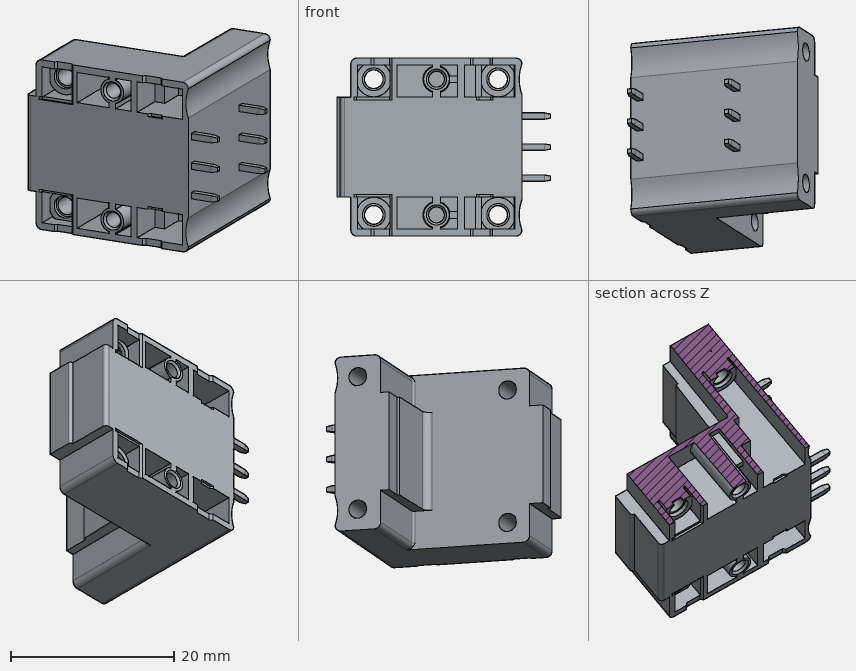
import cadquery as cq
import math


height = 21.82
half_height = height / 2
body_left = 1.7
body_right = 22.7
body_depth = 21.9
arm_depth = 9.2
leg_left_top = 16.82
leg_left_foot = 16.72
corner_radius = 0.79
foot_radius = 0.31

rib_half_height = 6.13
arm_rib_step = 0.42
arm_rib_step_depth = 5.69
arm_rib_shoulder_radius = 0.37
arm_rib_front_radius = 0.52
leg_rib_upper = 15.72
leg_rib_ledge = 18.63
leg_rib_top = 15.4
leg_rib_foot = 15.17
leg_rib_foot_radius = 0.95

wall = 0.85
skin = 0.9
pocket_bottom = rib_half_height
pocket_top = half_height - skin
pocket_depth = arm_depth - wall
screw_z = 8.3
arm_screw_x = 4.53
leg_screw_x = 19.75
arm_pocket_right = 6.52
tube_pocket_left = 7.35
tube_pocket_right = 14.8
leg_pocket_left = tube_pocket_right + wall
leg_pocket_right = body_right - wall
leg_pocket_step = 17.0
leg_pocket_step_depth = 4.72
leg_shaft_left = 17.75
leg_shaft_right = 21.7

seat_radius = 2.15
seat_thickness = 7.1
seat_corner_drop = 1.57
screw_radius = 1.13
counterbore_radius = 1.4
counterbore_depth = 0.52

tube_x = 12.2
tube_front_radius = 1.57
tube_base_radius = 1.65
tube_mouth_radius = 1.23
tube_mouth_depth = 0.31
tube_bore_radius = 0.97
tube_bore_depth = 6.55
tube_web = 0.95
tube_side_web = 0.85
tube_side_web_set_back = 3.15

recess_depth = 0.31
recess_slope = 0.31
recess_bottom = 5.8
recess_sill_height = pocket_bottom - recess_bottom
arm_recess = (4.22, 6.79)
arm_sill = (2.1, 6.79)
leg_recess = (16.38, 19.05)
leg_sill = (17.1, 19.15)

hollow_half_chord = 1.89
hollow_sag = 0.35

pin_tip = 26.2
pin_shoulder = 25.41
pin_width = 0.8
pin_tip_width = 0.52
pin_anchor = 0.52
pin_z_pitch = 3.8
pin_rows = (1.2, 13.95)


def box(x0, x1, y0, y1, z0, z1):
    return cq.Workplane("XY").box(x1 - x0, y1 - y0, z1 - z0, centered=False).translate((x0, y0, z0))


def front_plane(y):
    return cq.Workplane("XZ", origin=(0, y, 0))


def cylinder(x, z, radius, y0, y1):
    return front_plane(y0).center(x, z).circle(radius).extrude(y0 - y1)


def cone(x, z, radius0, y0, radius1, y1):
    solid = cq.Solid.makeCone(radius0, radius1, y1 - y0, cq.Vector(x, y0, z), cq.Vector(0, 1, 0))
    return cq.Workplane("XY").add(solid)


def plan_prism(outline, half):
    """Extrude a plan outline equally above and below Z = 0."""
    return outline.extrude(2 * half).translate((0, 0, -half))


def make_housing():
    arm = box(body_left, body_right, 0, arm_depth, -half_height, half_height)
    arm = arm.edges("|Y").fillet(corner_radius)

    bend = foot_radius * (1 - math.sqrt(0.5))
    leg_outline = (
        cq.Workplane("XY")
        .moveTo(body_right, 0)
        .lineTo(body_right, body_depth)
        .lineTo(leg_left_top, body_depth)
        .lineTo(leg_left_foot, arm_depth + foot_radius)
        .threePointArc((leg_left_foot - bend, arm_depth + bend), (leg_left_foot - foot_radius, arm_depth))
        .lineTo(leg_left_foot - foot_radius, 0)
        .close()
    )
    leg = plan_prism(leg_outline, half_height)
    outer_edges = cq.selectors.BoxSelector(
        (leg_left_foot - foot_radius, arm_depth + foot_radius, -2 * half_height),
        (2 * body_right, body_depth - corner_radius, 2 * half_height),
    )
    leg = leg.edges("#Z").edges(outer_edges).fillet(corner_radius)
    return leg.union(arm)


def make_ribs():
    arm_outline = (
        cq.Workplane("XY")
        .moveTo(body_right / 2, 0)
        .lineTo(body_right / 2, arm_depth)
        .lineTo(0, arm_depth)
        .lineTo(0, arm_rib_step_depth)
        .lineTo(arm_rib_step, arm_rib_step_depth)
        .lineTo(arm_rib_step, 0)
        .close()
    )
    arm_rib = plan_prism(arm_outline, rib_half_height)
    arm_rib = arm_rib.faces("<X").edges("<Y").fillet(arm_rib_shoulder_radius)
    arm_rib = arm_rib.faces("<Y").edges("<X").fillet(arm_rib_front_radius)

    r = leg_rib_foot_radius
    bend = r * (1 - math.sqrt(0.5))
    leg_outline = (
        cq.Workplane("XY")
        .moveTo(leg_shaft_left, arm_depth)
        .lineTo(leg_shaft_left, body_depth)
        .lineTo(leg_rib_upper, body_depth)
        .lineTo(leg_rib_upper, leg_rib_ledge)
        .lineTo(leg_rib_top, leg_rib_ledge)
        .lineTo(leg_rib_foot, arm_depth + r)
        .threePointArc((leg_rib_foot - bend, arm_depth + bend), (leg_rib_foot - r, arm_depth))
        .close()
    )
    return arm_rib.union(plan_prism(leg_outline, rib_half_height))


def screw_pocket(x, x0, x1, seat_y):
    """Pocket ending in a round screw seat whose corners drop away behind it."""
    pocket = box(x0, x1, 0, seat_y + seat_corner_drop, pocket_bottom, pocket_top)
    seat_end = seat_y + seat_thickness
    bore_end = seat_y + counterbore_depth
    pocket = pocket.cut(cylinder(x, screw_z, seat_radius, seat_y, seat_end))
    pocket = pocket.union(cylinder(x, screw_z, counterbore_radius, seat_y, bore_end))
    return pocket.union(cylinder(x, screw_z, screw_radius, bore_end, seat_end))


def leg_pocket():
    seat_y = body_depth - seat_thickness
    pocket = screw_pocket(leg_screw_x, leg_shaft_left, leg_shaft_right, seat_y)
    pocket = pocket.union(
        box(leg_pocket_left, leg_shaft_right, 0, leg_pocket_step_depth, pocket_bottom, pocket_top)
    )
    pocket = pocket.union(
        box(leg_pocket_step, leg_shaft_right, 0, pocket_depth, pocket_bottom, pocket_top)
    )
    draft_outline = (
        cq.Workplane("XY")
        .moveTo(leg_screw_x, 0)
        .lineTo(leg_pocket_right, 0)
        .lineTo(leg_shaft_right, seat_y)
        .lineTo(leg_screw_x, seat_y)
        .close()
    )
    draft = draft_outline.extrude(pocket_top - pocket_bottom).translate((0, 0, pocket_bottom))
    return pocket.union(draft)


def tube_pocket():
    pocket = box(tube_pocket_left, tube_pocket_right, 0, pocket_depth, pocket_bottom, pocket_top)
    half_web = tube_web / 2
    half_side_web = tube_side_web / 2
    pocket = pocket.cut(cone(tube_x, screw_z, tube_front_radius, 0, tube_base_radius, pocket_depth))
    pocket = pocket.cut(
        box(tube_x - half_web, tube_x + half_web, 0, pocket_depth, pocket_bottom, pocket_top)
    )
    pocket = pocket.cut(
        box(
            tube_x,
            tube_pocket_right,
            tube_side_web_set_back,
            pocket_depth,
            screw_z - half_side_web,
            screw_z + half_side_web,
        )
    )
    mouth = cone(tube_x, screw_z, tube_mouth_radius, 0, tube_bore_radius, tube_mouth_depth)
    bore = cylinder(tube_x, screw_z, tube_bore_radius, 0, tube_bore_depth)
    return pocket.union(mouth).union(bore)


def front_recess(span, z0, height):
    """Shallow trapezoid with sloped ends, cut into the front face."""
    x0, x1 = span
    outline = [
        (x0, 0),
        (x1, 0),
        (x1 - recess_slope, recess_depth),
        (x0 + recess_slope, recess_depth),
    ]
    return cq.Workplane("XY").polyline(outline).close().extrude(height).translate((0, 0, z0))


def side_hollow():
    return (
        front_plane(0)
        .moveTo(body_right, screw_z - hollow_half_chord)
        .threePointArc((body_right - hollow_sag, screw_z), (body_right, screw_z + hollow_half_chord))
        .close()
        .extrude(-body_depth)
    )


def make_upper_cuts():
    """Every cut above Z = 0; the lower half mirrors them."""
    return [
        screw_pocket(arm_screw_x, body_left + wall, arm_pocket_right, arm_depth - seat_thickness),
        tube_pocket(),
        leg_pocket(),
        front_recess(arm_recess, pocket_bottom, half_height - pocket_bottom),
        front_recess(arm_sill, recess_bottom, recess_sill_height),
        front_recess(leg_recess, pocket_top, skin),
        front_recess(leg_sill, recess_bottom, recess_sill_height),
        side_hollow(),
    ]


def make_pin(y, z):
    shank_start = body_right - pin_anchor
    shank = cq.Workplane("YZ", origin=(shank_start, y, z)).rect(pin_width, pin_width)
    shank = shank.extrude(pin_shoulder - shank_start)
    tip = (
        cq.Workplane("YZ", origin=(pin_shoulder, y, z))
        .rect(pin_width, pin_width)
        .workplane(offset=pin_tip - pin_shoulder)
        .rect(pin_tip_width, pin_tip_width)
        .loft()
    )
    return shank.union(tip)


result = make_housing().union(make_ribs())
for cut in make_upper_cuts():
    result = result.cut(cut).cut(cut.mirror("XY"))
for row_y in pin_rows:
    for column in (-1, 0, 1):
        result = result.union(make_pin(row_y, column * pin_z_pitch))